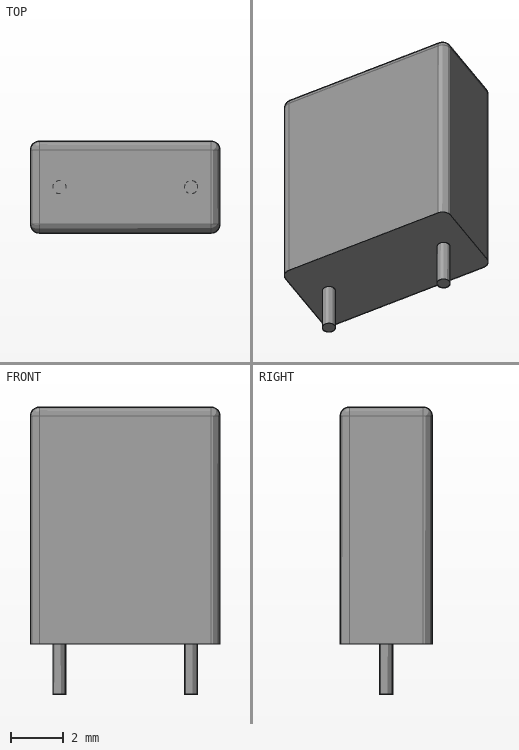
import cadquery as cq

case_length = 7.2
case_width = 3.5
case_height = 9.0
edge_radius = 0.35

lead_pitch = 5.0
lead_diameter = 0.5
lead_length = 1.9


def make_case():
    """Case resting on Z = 0, rounded everywhere except the bottom edges."""
    block = cq.Workplane("XY").box(
        case_length, case_width, case_height, centered=(True, True, False)
    )
    return block.edges("|Z or >Z").fillet(edge_radius)


def make_leads():
    """Two leads hanging from the underside, centred across the width."""
    return (
        cq.Workplane("XY")
        .pushPoints([(-lead_pitch / 2, 0), (lead_pitch / 2, 0)])
        .circle(lead_diameter / 2)
        .extrude(-lead_length)
    )


result = make_case().union(make_leads())